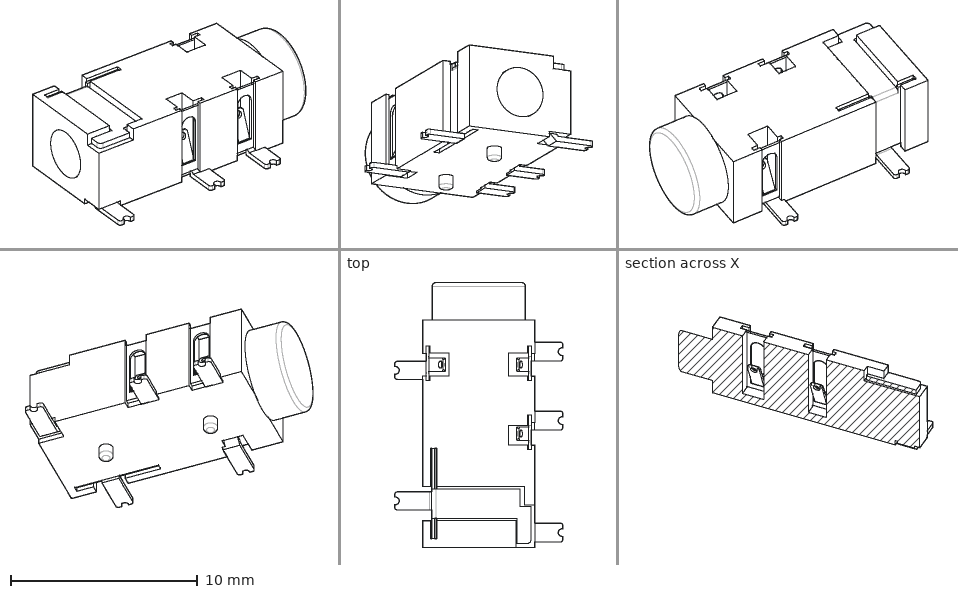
import cadquery as cq
import math


body_width = 6.02
body_height = 4.53
total_length = 14.2
barrel_length = 2.0
barrel_diameter = 5.0
barrel_edge_radius = 0.21
bore_diameter = 2.73
axis_height = 2.27
body_length = total_length - barrel_length
wall_x = body_width / 2

peg_diameter = 0.77
peg_drop = 0.68
peg_edge_radius = 0.17
peg_positions_y = (3.2, 9.22)

leg_tip_x = 4.5
leg_bottom = -0.1
leg_thickness = 0.28
leg_top = leg_bottom + leg_thickness
wide_leg = 1.02
narrow_leg = 0.98
leg_corner_radius = 0.14
leg_notch_radius = 0.2
leg_notch_inset = 0.04

side_contacts = (
    (-1, 9.19, 1.24),
    (1, 9.19, 1.24),
    (1, 5.5, 1.05),
)
leg_width_by_side = {-1: narrow_leg, 1: wide_leg}
leg_offset_by_side = {-1: -0.18, 1: 0.8}
clearance_inner_x_by_side = {-1: 1.73, 1: 2.6}
tongue_reach_by_side = {-1: 0.91, 1: 0.65}
side_window_length = 1.2
side_slot_start = -0.23
side_slot_length = 1.83
side_slot_inner_x = 2.6
side_plate_outer_x = 2.81
side_plate_thickness = 0.14
side_plate_bottom = 0.31
side_plate_top = 4.3
side_bend = 0.17
pocket_inner_x = 1.59
pocket_floor = 0.57

opening_width = 0.9
opening_bottom = 0.88
opening_top = 3.76
tongue_width = 0.71
tongue_center = 0.61
tongue_root = 0.95
tongue_setback = 0.03
tongue_top = 2.6
tongue_corner = 0.1
tongue_hole_diameter = 0.37
tongue_hole_height = 2.31

front_slot_outer_x = 2.57
front_slot_inner_x = 2.26
front_slot_start = 0.48
front_slot_end = 5.31
front_plate_outer_x = 2.53
front_plate_inner_x = 2.35
front_plate_bottom = 0.21
front_plate_top = 4.39
front_leg_start = 2.02
front_bend = 0.1
strip_top = 4.22
strip_thickness = 0.31
strip_bend_radius = 0.23
strip_front = 1.58
strip_rear = 3.15
strip_step_y = 2.2
strip_step_x = 2.22
strip_foot_inner_x = 2.05
strip_foot_outer_x = 2.8
strip_foot_front = 0.21
strip_foot_radius = 0.23

recess_floor = 3.83
recess_front = 1.45
recess_rear = 3.27
recess_step_y = 2.29
recess_step_x = 2.44
recess_foot_x = 1.99

slope_bend_x = 2.3
corner_leg_start = 0.3
corner_notch_inner_x = 1.73
corner_notch_length = 1.45
corner_notch_height = 0.3


def block(x0, x1, y0, y1, z0, z1):
    """Box between two opposite corners; the X limits may come in either order."""
    low_x, high_x = min(x0, x1), max(x0, x1)
    solid = cq.Workplane("XY").box(high_x - low_x, y1 - y0, z1 - z0, centered=False)
    return solid.translate((low_x, y0, z0))


def xz_prism(points, y0, y1):
    """Extrude an outline in X and Z from y0 to y1."""
    return cq.Workplane("XZ", origin=(0, y0, 0)).polyline(points).close().extrude(y0 - y1)


def leg_blade(side, root_x, start_y, width):
    """Flat leg with rounded tip corners and a round notch in the tip."""
    blade = block(side * root_x, side * leg_tip_x, start_y, start_y + width, leg_bottom, leg_top)
    blade = blade.edges("|Z").edges(">X" if side > 0 else "<X").fillet(leg_corner_radius)
    notch = (
        cq.Workplane("XY", origin=(side * (leg_tip_x - leg_notch_inset), start_y + width / 2, leg_bottom))
        .circle(leg_notch_radius)
        .extrude(leg_thickness)
    )
    notch_mouth = block(
        side * (leg_tip_x - leg_notch_inset), side * leg_tip_x,
        start_y + width / 2 - leg_notch_radius, start_y + width / 2 + leg_notch_radius,
        leg_bottom, leg_top,
    )
    return blade.cut(notch).cut(notch_mouth)


def leg_bend(side, outer_x, inner_x, reach, plate_bottom, y0, y1):
    """Rise from the leg to the bottom of an upright plate, sloped on the outside."""
    outline = [
        (side * inner_x, leg_bottom),
        (side * (outer_x + reach), leg_bottom),
        (side * (outer_x + reach), leg_top),
        (side * outer_x, plate_bottom),
        (side * inner_x, plate_bottom),
    ]
    return xz_prism(outline, y0, y1)


def sloped_leg(side, ceiling, start_y, width):
    """Leg whose root slopes up at 45 degrees to a ceiling under the housing."""
    root_x = slope_bend_x - (ceiling - leg_bottom)
    root_width = leg_thickness * math.sqrt(2)
    outline = [
        (side * slope_bend_x, leg_bottom),
        (side * root_x, ceiling),
        (side * (root_x + root_width), ceiling),
        (side * (root_x + root_width + ceiling - leg_top), leg_top),
    ]
    slope = xz_prism(outline, start_y, start_y + width)
    return leg_blade(side, slope_bend_x, start_y, width).union(slope)


def housing():
    body = block(-wall_x, wall_x, 0, body_length, 0, body_height)
    barrel = (
        cq.Workplane("XZ", origin=(0, body_length, axis_height))
        .circle(barrel_diameter / 2)
        .extrude(-barrel_length)
        .faces(">Y")
        .edges()
        .fillet(barrel_edge_radius)
    )
    bore = cq.Workplane("XZ", origin=(0, 0, axis_height)).circle(bore_diameter / 2).extrude(-body_length)
    pegs = (
        cq.Workplane("XY")
        .pushPoints([(0, y) for y in peg_positions_y])
        .circle(peg_diameter / 2)
        .extrude(-peg_drop)
        .faces("<Z")
        .edges()
        .fillet(peg_edge_radius)
    )
    return body.union(barrel).cut(bore).union(pegs)


def side_contact_cavity(side, window_y, pocket_length):
    """Wall window, plate slot, inner pocket and leg clearance of one side contact."""
    window_end = window_y + side_window_length
    slot_y = window_y + side_slot_start
    outer_x = side * wall_x
    slot_x = side * side_slot_inner_x
    plate_x = side * side_plate_outer_x
    window = block(plate_x, outer_x, window_y, window_end, 0, body_height)
    clearance_x = side * clearance_inner_x_by_side[side]
    clearance = block(clearance_x, outer_x, window_y, window_end, 0, side_plate_bottom)
    slot = block(slot_x, plate_x, slot_y, slot_y + side_slot_length, pocket_floor, body_height)
    pocket = block(
        side * pocket_inner_x, slot_x, window_y, window_y + pocket_length, pocket_floor, body_height
    )
    return window.union(clearance).union(slot).union(pocket)


def spring_tongue(side, center_y):
    """Sloped tongue leaning inward as it rises, with clipped corners and a hole."""
    tongue_reach = tongue_reach_by_side[side]
    angle = math.atan2(tongue_reach, tongue_top - tongue_root)
    thickness_x = side_plate_thickness * math.cos(angle)
    thickness_z = side_plate_thickness * math.sin(angle)
    root_x = side_plate_outer_x - tongue_setback
    tip_x = side_plate_outer_x - tongue_reach
    outline = [
        (side * root_x, opening_bottom),
        (side * root_x, tongue_root),
        (side * tip_x, tongue_top),
        (side * (tip_x - thickness_x), tongue_top - thickness_z),
        (side * (root_x - thickness_x), opening_bottom),
    ]
    half_width = tongue_width / 2
    sloped = xz_prism(outline, center_y - half_width, center_y + half_width)
    silhouette = (
        cq.Workplane("YZ", origin=(0, center_y, 0))
        .polyline([
            (-half_width, 0),
            (half_width, 0),
            (half_width, tongue_top - tongue_corner),
            (half_width - tongue_corner, tongue_top),
            (-half_width + tongue_corner, tongue_top),
            (-half_width, tongue_top - tongue_corner),
        ])
        .close()
        .extrude(side * wall_x)
    )
    hole = (
        cq.Workplane("YZ", origin=(0, center_y, tongue_hole_height))
        .circle(tongue_hole_diameter / 2)
        .extrude(side * wall_x)
    )
    return sloped.intersect(silhouette).cut(hole)


def side_contact(side, window_y):
    """Upright plate with an arched opening, its spring tongue and its solder leg."""
    plate_inner_x = side_plate_outer_x - side_plate_thickness
    plate_y = window_y + side_slot_start
    plate_end = plate_y + side_slot_length
    plate = block(
        side * plate_inner_x, side * side_plate_outer_x, plate_y, plate_end,
        side_plate_bottom, side_plate_top,
    )
    center_y = window_y + tongue_center
    half_opening = opening_width / 2
    arch_z = opening_top - half_opening
    opening = (
        cq.Workplane("YZ", origin=(0, center_y, 0))
        .moveTo(-half_opening, opening_bottom)
        .lineTo(half_opening, opening_bottom)
        .lineTo(half_opening, arch_z)
        .threePointArc((0, opening_top), (-half_opening, arch_z))
        .close()
        .extrude(side * wall_x)
    )
    leg_y = window_y + leg_offset_by_side[side]
    leg_width = leg_width_by_side[side]
    leg_end = leg_y + leg_width
    if side < 0:
        leg = sloped_leg(side, side_plate_bottom, leg_y, leg_width)
    else:
        bend = leg_bend(
            side, side_plate_outer_x, plate_inner_x, side_bend, side_plate_bottom,
            leg_y, min(leg_end, plate_end),
        )
        leg = leg_blade(side, plate_inner_x, leg_y, leg_width).union(bend)
    return plate.cut(opening).union(spring_tongue(side, center_y)).union(leg)


def front_contact_cavity():
    """Top recess for the strip, slot for the plate and window in the left wall."""
    recess = (
        cq.Workplane("XY", origin=(0, 0, recess_floor))
        .polyline([
            (-front_slot_outer_x, recess_front),
            (recess_foot_x, recess_front),
            (recess_foot_x, 0),
            (wall_x, 0),
            (wall_x, recess_step_y),
            (recess_step_x, recess_step_y),
            (recess_step_x, recess_rear),
            (-front_slot_outer_x, recess_rear),
        ])
        .close()
        .extrude(body_height - recess_floor)
    )
    slot = block(
        -front_slot_outer_x, -front_slot_inner_x, front_slot_start, front_slot_end, 0, body_height
    )
    window = block(-wall_x, -front_slot_outer_x, recess_front, recess_rear, 0, body_height)
    return recess.union(slot).union(window)


def front_contact():
    """Upright plate, strip folded over the top and solder leg on the left."""
    plate = block(
        -front_plate_outer_x, -front_plate_inner_x, front_slot_start, front_slot_end,
        front_plate_bottom, front_plate_top,
    )
    fold_space = block(
        -front_plate_outer_x, -front_plate_inner_x, strip_front, strip_rear,
        strip_top - strip_thickness, front_plate_top,
    )
    strip = (
        cq.Workplane("XY", origin=(0, 0, strip_top - strip_thickness))
        .polyline([
            (-front_plate_outer_x, strip_front),
            (strip_foot_inner_x, strip_front),
            (strip_foot_inner_x, strip_foot_front),
            (strip_foot_outer_x, strip_foot_front),
            (strip_foot_outer_x, strip_step_y),
            (strip_step_x, strip_step_y),
            (strip_step_x, strip_rear),
            (-front_plate_outer_x, strip_rear),
        ])
        .close()
        .extrude(strip_thickness)
        .faces(">X")
        .edges("|Z").edges("<Y")
        .fillet(strip_foot_radius)
        .faces(">Z")
        .edges("<X")
        .fillet(strip_bend_radius)
    )
    blade = leg_blade(-1, front_plate_inner_x, front_leg_start, narrow_leg)
    bend = leg_bend(
        -1, front_plate_outer_x, front_plate_inner_x, front_bend, front_plate_bottom,
        front_leg_start, front_leg_start + narrow_leg,
    )
    return plate.cut(fold_space).union(strip).union(blade).union(bend)


corner_notch = block(corner_notch_inner_x, wall_x, 0, corner_notch_length, 0, corner_notch_height)
corner_leg = sloped_leg(1, corner_notch_height, corner_leg_start, wide_leg)

result = housing().cut(front_contact_cavity()).cut(corner_notch)
for side, window_y, pocket_length in side_contacts:
    result = result.cut(side_contact_cavity(side, window_y, pocket_length))
    result = result.union(side_contact(side, window_y))
result = result.union(front_contact()).union(corner_leg)